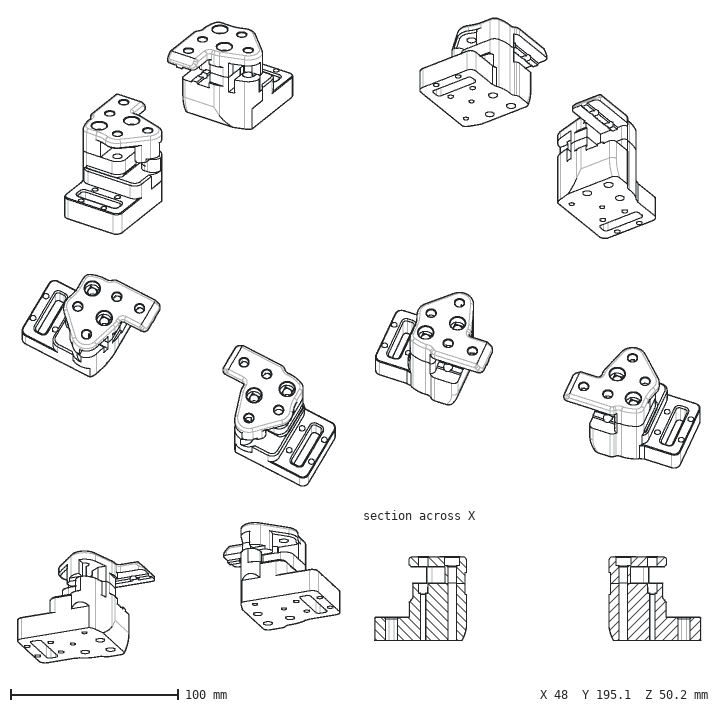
import cadquery as cq
import math


total_width = 48.02
total_length = 195.1
total_height = 50.2
set_length = 71.9
split_height = 34.4

corner_radius = 8.5
small_screw_pitch = 13.1
right_screw = (total_width - corner_radius, 42.1)
left_screw = (right_screw[0] - small_screw_pitch, right_screw[1] - small_screw_pitch)
post_bolt = (25.3, 46.4)
column_bolt = (12.2, 31.0)
arm_hole_x = 9.7
arm_hole_ys = (46.4, 61.9)
arm_hole_diameter = 5.4
bolt_diameter = 5.2
bolt_head_diameter = 9.0
bolt_head_depth = 5.2
screw_diameter = 3.0
screw_head_diameter = 5.4
screw_head_depth = 6.0
hole_chamfer = 0.4
bridge_step = 0.4

arm_width = 19.9
arm_corner_radius = 3.0
arm_root_y = 55.3
arm_root_radius = 2.0
edge_slope = math.radians(17)
edge_bend_radius = 12.0
plate_bottom = 44.2
plate_relief = 1.2
relief_left = 15.0
plate_edge_radius = 1.8
tip_bevel = 4.1

column_x = 2.4
column_y = 34.8
column_radius = 24.0
column_corner_radius = 4.75
column_turn = math.radians(22)
flank_slope = math.radians(40)
arm_side_radius = 3.6
arm_side_y = 41.4
bulge_turn = math.radians(23)
bulge_blend_radius = 20.0

pocket_floor = 24.2
pocket_wall_y = 40.0
pocket_wall_radius = 2.8
pocket_corner_x = 2.0
post_wall_x = 20.0
step_y = 20.7
step_corner_radius = 5.0
step_chamfer = 1.2
column_flare = 1.2
foot_left = 5.8
foot_width = 40.0
foot_height = 14.1
foot_corner_radius = 4.0
foot_chamfer = 0.5
foot_hole_pitch_x = 16.0
foot_hole_pitch_y = 15.2
foot_hole_edge = 2.5
foot_hole_diameter = 3.4
slot_length = 28.0
slot_width = 7.0
slot_corner_radius = 2.0
slot_chamfer = 1.0
slot_center_y = foot_hole_edge + foot_hole_pitch_y / 2
blend_start_y = 21.4
blend_end_x = 5.0
blend_end_y = 25.2
blend_radius = 12.0
body_start_y = 30.0
body_corner_zone = 15.0
scoop_height = 12.0
scoop_depth = 3.0
side_undercut = 2.6
left_boss_radius = 6.0

gap_left = 32.6
gap_right = 36.0
tab_corner_radius = 3.2
boss_gap = 1.2
right_boss_y = 38.0
right_boss_left_radius = 4.0
right_boss_right_radius = 6.0
right_head_diameter = 7.0
tab_raise = 0.9
tab_foot_end = 43.4

recess_y = 54.1
recess_bottom = 27.7
recess_top = 40.7

ridge_base = 4.4
ridge_top = 3.6
ridge_height = 1.2

opening_left = 18.5
opening_arc_start = (19.9, 36.0)
opening_arc_end = (28.9, 42.6)
opening_arc_radius = 12.0
opening_end_y = 48.0

foot_right = foot_left + foot_width
foot_center_x = foot_left + foot_width / 2
diagonal = math.radians(45)
bulge_top_y = left_screw[1] - corner_radius
column_front_y = (
    bulge_top_y + (corner_radius + bulge_blend_radius) * (1 - math.cos(bulge_turn))
)


def on_circle(center, radius, angle):
    """Point of a circle at an angle measured from +X."""
    return (center[0] + radius * math.cos(angle), center[1] + radius * math.sin(angle))


def arc_points(center, radius, start, end):
    """Middle and end point of an arc."""
    return on_circle(center, radius, (start + end) / 2), on_circle(center, radius, end)


def box(x0, x1, y0, y1, z0, z1):
    return cq.Workplane("XY").box(x1 - x0, y1 - y0, z1 - z0, centered=False).translate((x0, y0, z0))


def cylinder(center, diameter, bottom, top):
    disc = cq.Workplane("XY", origin=(*center, bottom)).circle(diameter / 2)
    return disc.extrude(top - bottom)


arm_side_center = (arm_side_radius, arm_side_y)
column_center = (column_x + column_radius, column_y)
column_bend = on_circle(column_center, column_radius, math.pi + column_turn)
column_corner_x = column_bend[0] + column_corner_radius * math.cos(column_turn)
column_corner_center = (column_corner_x, column_front_y + column_corner_radius)


def column_side(outline):
    """Continue an outline from (0, arm_side_y) along the column to its flat front."""
    arm_mid, arm_end = arc_points(arm_side_center, arm_side_radius, math.pi, math.pi + flank_slope)
    flank_x = (arm_end[0] + column_x) / 2
    flank_y = arm_end[1] - (flank_x - arm_end[0]) / math.tan(flank_slope)
    side_mid, side_end = arc_points(column_center, column_radius, math.pi, math.pi + column_turn)
    corner_mid, corner_end = arc_points(
        column_corner_center, column_corner_radius, math.pi + column_turn, 1.5 * math.pi
    )
    return (
        outline.threePointArc(arm_mid, arm_end)
        .lineTo(flank_x, flank_y)
        .tangentArcPoint((column_x, column_y), relative=False)
        .threePointArc(side_mid, side_end)
        .threePointArc(corner_mid, corner_end)
    )


def plate_prism(bottom, top):
    """The plate's full outline with its arm, extruded between two heights."""
    blend_start_x = left_screw[0] - (corner_radius + bulge_blend_radius) * math.sin(bulge_turn)
    blend_center = (blend_start_x, column_front_y - bulge_blend_radius)
    blend_mid, blend_end = arc_points(
        blend_center, bulge_blend_radius, math.pi / 2, math.pi / 2 - bulge_turn
    )
    left_mid, left_end = arc_points(
        left_screw, corner_radius, 1.5 * math.pi - bulge_turn, 1.5 * math.pi + diagonal
    )
    right_start = on_circle(right_screw, corner_radius, -diagonal)
    right_mid, right_end = arc_points(
        right_screw, corner_radius, -diagonal, math.pi / 2 - edge_slope
    )
    bend_x = right_end[0] - (arm_root_y - right_end[1]) / math.tan(edge_slope)

    outline = cq.Workplane("XY", origin=(0, 0, bottom)).moveTo(0, arm_side_y)
    outline = column_side(outline).lineTo(blend_start_x, column_front_y)
    outline = (
        outline.threePointArc(blend_mid, blend_end)
        .threePointArc(left_mid, left_end)
        .lineTo(*right_start)
        .threePointArc(right_mid, right_end)
        .lineTo(bend_x, arm_root_y)
        .lineTo(arm_width, arm_root_y)
        .lineTo(arm_width, set_length)
        .lineTo(0, set_length)
        .close()
    )
    prism = outline.extrude(top - bottom)

    def round_corner(body, x, y, radius):
        near = cq.selectors.BoxSelector((x - 0.1, y - 0.1, bottom), (x + 0.1, y + 0.1, top))
        return body.edges("|Z").edges(near).fillet(radius)

    prism = round_corner(prism, bend_x, arm_root_y, edge_bend_radius)
    prism = round_corner(prism, arm_width, arm_root_y, arm_root_radius)
    prism = round_corner(prism, arm_width, set_length, arm_corner_radius)
    return round_corner(prism, 0, set_length, arm_corner_radius)


def right_boss(bottom, top):
    """The base's boss around the right screw, rounded on its foot side."""
    block = box(gap_right, total_width, right_boss_y, set_length, bottom, top)
    block = block.edges("|Z and <Y and <X").fillet(right_boss_left_radius)
    block = block.edges("|Z and >X and <Y").fillet(right_boss_right_radius)
    return block.intersect(plate_prism(bottom, top))


def tab_block(bottom, top):
    """The cap's hanging tab between the gap and the diagonal plate edge."""
    block = plate_prism(bottom, top).intersect(
        box(gap_right, total_width, 0, right_screw[1], bottom, top)
    )
    return block.edges("|Z").edges("<Y").fillet(tab_corner_radius)


def post_block(bottom, top):
    """Post around its bolt, between the arm pocket and the gap."""
    return plate_prism(bottom, top).intersect(
        box(post_wall_x, gap_left, pocket_wall_y, arm_root_y, bottom, top)
    )


def column_block(bottom, top, offset=0.0, taper=0.0, round_wall=False):
    """Column with a rounded end around the left screw, cut off flat at the arm pocket."""
    outline = cq.Workplane("XY", origin=(0, 0, bottom)).moveTo(0, arm_side_y)
    end_x = left_screw[0] + left_boss_radius
    end_center = (left_screw[0], column_front_y + left_boss_radius)
    end_mid, end_point = arc_points(end_center, left_boss_radius, -math.pi / 2, 0)
    outline = (
        column_side(outline)
        .lineTo(left_screw[0], column_front_y)
        .threePointArc(end_mid, end_point)
        .lineTo(end_x, arm_side_y)
        .close()
    )
    if offset:
        outline = outline.offset2D(offset)
    block = outline.extrude(top - bottom, taper=taper)
    block = block.intersect(box(-offset, total_width, 0, pocket_wall_y, bottom, top))
    if round_wall:
        corner = box(pocket_corner_x, total_width, body_start_y, pocket_wall_y, bottom, top)
        corner = corner.edges("|Z and >Y and <X").fillet(pocket_wall_radius)
        rest_y = pocket_wall_y - pocket_wall_radius
        block = block.intersect(corner.union(box(0, total_width, 0, rest_y, bottom, top)))
    return block


def recessed_hole(center, diameter, head_diameter, head_depth, bottom, top):
    """Through hole with a head recess, whose floor steps down to the hole through a slot and a square."""
    floor = top - head_depth
    square_floor = floor - 2 * bridge_step
    hole = cylinder(center, diameter, bottom, top).union(cylinder(center, head_diameter, floor, top))
    slot = cylinder(center, head_diameter, floor - bridge_step, floor)
    half = diameter / 2
    x, y = center
    slot = slot.intersect(box(x - head_diameter, x + head_diameter, y - half, y + half, 0, total_height))
    square = box(x - half, x + half, y - half, y + half, square_floor, floor)
    return hole.union(slot).union(square)


def rim_chamfer(center, diameter):
    """Cone that breaks the edge of a hole in the plate's top."""
    disc = cq.Workplane("XY", origin=(*center, total_height)).circle(diameter / 2 + hole_chamfer)
    return disc.extrude(-hole_chamfer, taper=45)


def ridge(start_y, end_y, level, direction):
    """Trapezoidal ridge along the arm, standing up (+1) or hanging down (-1) from a level."""
    tip = level + direction * ridge_height
    profile = cq.Workplane("XZ", origin=(0, end_y, 0)).polyline([
        (arm_hole_x - ridge_base / 2, level),
        (arm_hole_x + ridge_base / 2, level),
        (arm_hole_x + ridge_top / 2, tip),
        (arm_hole_x - ridge_top / 2, tip),
    ])
    return profile.close().extrude(end_y - start_y)


def post_recess():
    return box(0, total_width, recess_y, set_length, recess_bottom, recess_top)


def foot():
    block = box(foot_left, foot_right, 0, body_start_y, 0, foot_height)
    block = block.edges("|Z and <Y").fillet(foot_corner_radius)
    block = block.faces(">Z").edges("not >Y").chamfer(foot_chamfer)
    slot = cq.Workplane("XY").rect(slot_length, slot_width).extrude(foot_height)
    slot = slot.edges("|Z").fillet(slot_corner_radius)
    block = block.cut(slot.translate((foot_center_x, slot_center_y, 0)))
    near = cq.selectors.BoxSelector(
        (foot_left + slot_chamfer, slot_center_y - slot_width, foot_height - slot_chamfer),
        (foot_right - slot_chamfer, slot_center_y + slot_width, foot_height + slot_chamfer),
    )
    block = block.edges(near).chamfer(slot_chamfer)
    for dx in (-1, 1):
        for dy in (-1, 1):
            center = (
                foot_center_x + dx * foot_hole_pitch_x / 2,
                slot_center_y + dy * foot_hole_pitch_y / 2,
            )
            block = block.cut(cylinder(center, foot_hole_diameter, 0, foot_height))
    return block


def step():
    block = box(foot_left, foot_right, step_y, right_screw[1], 0, pocket_floor)
    block = block.edges("|Z and <Y").fillet(step_corner_radius)
    block = block.faces(">Z").edges("not >Y").chamfer(step_chamfer)
    return block.cut(box(foot_left, foot_right, 0, body_start_y, 0, foot_height - foot_chamfer))


def foot_blend():
    """Curved filler where the foot's left side runs into the column."""
    outline = (
        cq.Workplane("XY")
        .moveTo(foot_left, blend_start_y)
        .radiusArc((blend_end_x, blend_end_y), blend_radius)
        .lineTo(foot_left, blend_end_y)
        .close()
    )
    return outline.extrude(foot_height - foot_chamfer)


def body():
    """Block below the arm pocket, scooped along its lower front edge and undercut beside the foot."""
    block = plate_prism(0, pocket_floor).intersect(
        box(0, total_width, body_start_y, arm_root_y, 0, pocket_floor)
    )

    scoop_radius = (scoop_height**2 + scoop_depth**2) / (2 * scoop_depth)
    scoop_center = (arm_root_y - scoop_radius, scoop_height)
    scoop_mid, scoop_end = arc_points(
        scoop_center, scoop_radius, 0, -math.asin(scoop_height / scoop_radius)
    )
    scoop = (
        cq.Workplane("YZ").moveTo(arm_root_y, scoop_height)
        .threePointArc(scoop_mid, scoop_end)
        .lineTo(arm_root_y, 0)
        .close()
        .extrude(total_width)
    )
    undercut = (
        cq.Workplane("XZ", origin=(0, set_length, 0))
        .polyline([
            (foot_right, 0),
            (foot_right, foot_height),
            (total_width, foot_height + side_undercut),
            (total_width, 0),
        ])
        .close()
        .extrude(set_length)
    )
    block = block.cut(scoop)
    corner = cq.selectors.BoxSelector(
        (-1, body_start_y + body_corner_zone, -1), (1, arm_root_y + 1, total_height)
    )
    block = block.edges(corner).edges("not |Y").edges("not |X").fillet(arm_corner_radius)
    return block.cut(undercut)


def make_base():
    base = body().union(column_block(0, pocket_floor)).union(step()).union(foot()).union(foot_blend())
    base = base.union(column_block(pocket_floor, split_height, round_wall=True))
    base = base.union(post_block(pocket_floor, split_height))
    base = base.union(right_boss(pocket_floor, split_height - boss_gap))
    flare = column_block(pocket_floor, pocket_floor + column_flare, column_flare, 45)
    flare_bounds = box(column_corner_x, gap_left, 0, pocket_wall_y, 0, total_height)
    base = base.union(flare.intersect(flare_bounds))
    base = base.union(ridge(pocket_wall_y, arm_root_y, pocket_floor, 1))
    base = base.cut(post_recess())
    for bolt in (post_bolt, column_bolt):
        base = base.cut(cylinder(bolt, bolt_diameter, 0, split_height))
    left_hole = recessed_hole(
        left_screw, screw_diameter, screw_head_diameter, screw_head_depth, 0, split_height
    )
    right_hole = recessed_hole(
        right_screw, screw_diameter, right_head_diameter, screw_head_depth, 0, split_height - boss_gap
    )
    base = base.cut(left_hole).cut(right_hole)
    return base.cut(cylinder((arm_hole_x, arm_hole_ys[0]), arm_hole_diameter, 0, split_height))


def cap_opening():
    """Space in the cap above the left screw, open towards the foot and the gap."""
    outline = (
        cq.Workplane("XY", origin=(0, 0, split_height))
        .moveTo(opening_left, 0)
        .lineTo(opening_left, opening_arc_start[1])
        .lineTo(*opening_arc_start)
        .radiusArc(opening_arc_end, opening_arc_radius)
        .lineTo(gap_left, opening_end_y)
        .lineTo(gap_left, 0)
        .close()
    )
    return outline.extrude(plate_bottom + plate_relief - split_height)


def make_plate():
    """Plate with a bevelled arm tip, a rounded top rim and a relieved lower edge on the foot side."""
    blank = plate_prism(plate_bottom, total_height)
    relieved = blank.faces("<Z").edges().chamfer(plate_relief)
    relief = blank.cut(relieved).intersect(
        box(relief_left, total_width, 0, right_boss_y, plate_bottom, total_height)
    )
    bevel = (
        cq.Workplane("YZ")
        .polyline([
            (set_length - tip_bevel, total_height),
            (set_length, total_height - tip_bevel),
            (set_length, total_height),
        ])
        .close()
        .extrude(arm_width)
    )
    plate = blank.cut(bevel)
    bevel_face = cq.selectors.DirectionMinMaxSelector(cq.Vector(0, 1, 1), True)
    bevel_rim = plate.faces(bevel_face).edges("not >Z")
    rim = plate.faces(">Z").edges("not >Y").add(bevel_rim)
    return rim.fillet(plate_edge_radius).cut(relief)


def make_cap():
    leg_top = plate_bottom + plate_relief
    legs = column_block(split_height, leg_top, round_wall=True)
    legs = legs.union(post_block(split_height, plate_bottom)).cut(cap_opening())
    cap = make_plate().union(legs).union(tab_block(split_height + tab_raise, leg_top))
    tab_foot = tab_block(split_height - boss_gap, leg_top)
    cap = cap.union(tab_foot.intersect(box(gap_right, tab_foot_end, 0, set_length, 0, plate_bottom)))
    cap = cap.union(ridge(pocket_wall_y, set_length, plate_bottom, -1))
    cap = cap.cut(post_recess())
    for bolt in (post_bolt, column_bolt):
        hole = recessed_hole(
            bolt, bolt_diameter, bolt_head_diameter, bolt_head_depth, split_height, total_height
        )
        cap = cap.cut(hole).cut(rim_chamfer(bolt, bolt_head_diameter))
    plain_holes = [(arm_hole_x, y) for y in arm_hole_ys] + [left_screw, right_screw]
    for center in plain_holes:
        cap = cap.cut(cylinder(center, screw_head_diameter, split_height - boss_gap, total_height))
        cap = cap.cut(rim_chamfer(center, screw_head_diameter))
    return cap


def place(solid):
    """The set's copy at -Y and its mirror image at +Y."""
    near = solid.translate((0, -total_length / 2, 0))
    return [near.val(), near.mirror("XZ").val()]


bases = place(make_base())
caps = place(make_cap())
result = cq.Compound.makeCompound([*bases, *caps])